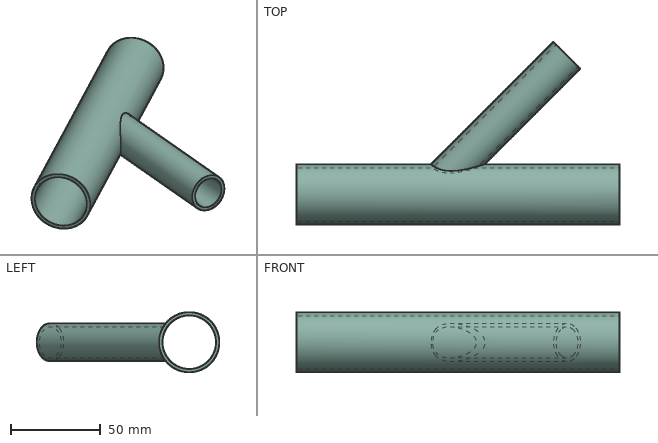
import cadquery as cq
import math

main_length = 180.0
main_outer_diameter = 33.7
main_bore_diameter = 29.7

branch_outer_diameter = 21.2
branch_bore_diameter = 17.3
branch_angle = 45.0
junction_x = 73.0
overall_width = 101.9

angle = math.radians(branch_angle)
outlet_center_y = (
    overall_width
    - main_outer_diameter / 2
    - branch_outer_diameter / 2 * math.cos(angle)
)
branch_length = outlet_center_y / math.sin(angle)


def main_cylinder(diameter):
    """Cylinder over the full length of the main tube."""
    return cq.Workplane("YZ").circle(diameter / 2).extrude(main_length)


def branch_cylinder(diameter):
    """Cylinder from the axis crossing to the branch outlet."""
    branch_plane = cq.Plane(
        origin=(junction_x, 0, 0),
        xDir=(0, 0, 1),
        normal=(math.cos(angle), math.sin(angle), 0),
    )
    return cq.Workplane(branch_plane).circle(diameter / 2).extrude(branch_length)


outer_body = main_cylinder(main_outer_diameter).union(branch_cylinder(branch_outer_diameter))
result = outer_body.cut(main_cylinder(main_bore_diameter)).cut(branch_cylinder(branch_bore_diameter))